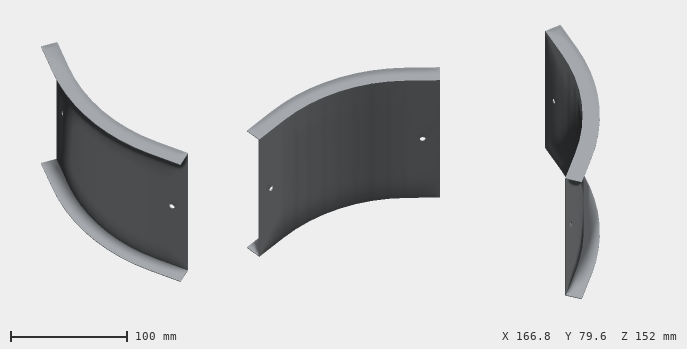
import cadquery as cq
import math

overall_length = 166.8
overall_height = 152.0
bend_angle = 45.0
straight_length = 30.0
flange_width = 14.8
sheet_thickness = 0.8
hole_diameter = 5.0

bend_cos = math.cos(math.radians(bend_angle))
bend_sin = math.sin(math.radians(bend_angle))

outer_radius = (overall_length - straight_length * (1 + bend_cos)) / bend_sin
web_radius = outer_radius - flange_width
bend_center = (straight_length, outer_radius)


def arc_point(radius, angle):
    """Point on the bend, with the angle measured from the start of the bend."""
    turn = math.radians(angle)
    return (
        bend_center[0] + radius * math.sin(turn),
        bend_center[1] - radius * math.cos(turn),
    )


def end_point(radius):
    """Far end of the straight that follows the bend."""
    x, y = arc_point(radius, bend_angle)
    return (x + straight_length * bend_cos, y + straight_length * bend_sin)


def curved_strip(near_radius, far_radius, height):
    """Straight, bend, straight strip between two radii, extruded up from Z = 0."""
    return (
        cq.Workplane("XY")
        .moveTo(0, outer_radius - far_radius)
        .lineTo(*arc_point(far_radius, 0))
        .threePointArc(arc_point(far_radius, bend_angle / 2), arc_point(far_radius, bend_angle))
        .lineTo(*end_point(far_radius))
        .lineTo(*end_point(near_radius))
        .lineTo(*arc_point(near_radius, bend_angle))
        .threePointArc(arc_point(near_radius, bend_angle / 2), arc_point(near_radius, 0))
        .lineTo(0, outer_radius - near_radius)
        .close()
        .extrude(height)
    )


def hole_cutter(point, direction):
    """Cylinder through the web, centred on the given web point at mid height."""
    reach = flange_width
    start = cq.Vector(*point, overall_height / 2) - direction * (reach / 2)
    return cq.Solid.makeCylinder(hole_diameter / 2, reach, start, direction)


web = curved_strip(web_radius, web_radius + sheet_thickness, overall_height)
flange = curved_strip(web_radius, outer_radius, sheet_thickness)
top_flange = flange.translate((0, 0, overall_height - sheet_thickness))
result = web.union(flange).union(top_flange)

near_hole = (straight_length / 2, flange_width)
bend_end = arc_point(web_radius, bend_angle)
far_hole = (
    bend_end[0] + straight_length / 2 * bend_cos,
    bend_end[1] + straight_length / 2 * bend_sin,
)
result = result.cut(cq.Workplane(hole_cutter(near_hole, cq.Vector(0, 1, 0))))
result = result.cut(cq.Workplane(hole_cutter(far_hole, cq.Vector(-bend_sin, bend_cos, 0))))